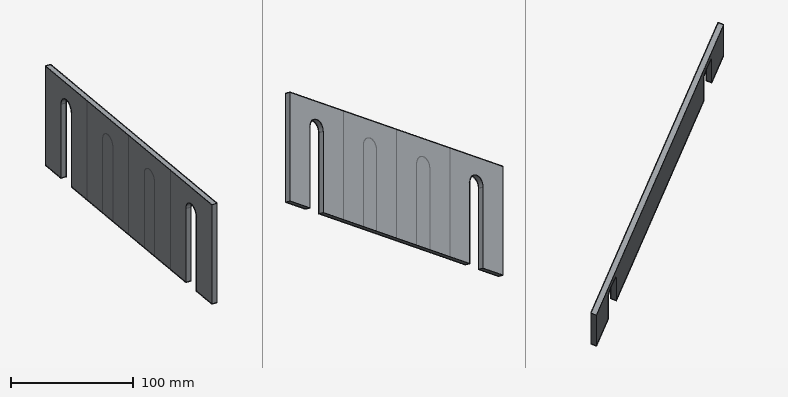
import cadquery as cq

length = 267.0
thickness = 5.0
height = 93.0

panel_count = 4
panel_width = length / panel_count
slot_width = 16.5
slot_top = 77.5
slot_radius = slot_width / 2
slot_spring = slot_top - slot_radius

inner_panels = range(1, panel_count - 1)
end_panels = (0, panel_count - 1)


def panel_center(index):
    """X position of a panel's centreline."""
    return (index + 0.5) * panel_width - length / 2


def slot_outline(index):
    """Round-topped outline on the front face, open at the bottom edge of the plate."""
    x_left = panel_center(index) - slot_radius
    x_right = panel_center(index) + slot_radius
    return (
        cq.Workplane("XZ")
        .moveTo(x_left, 0)
        .lineTo(x_left, slot_spring)
        .threePointArc((panel_center(index), slot_top), (x_right, slot_spring))
        .lineTo(x_right, 0)
        .close()
    )


def panel_outline(index):
    """Full-height rectangle of one panel on the front face."""
    return cq.Workplane("XZ").center(panel_center(index), height / 2).rect(panel_width, height)


def flat_face(outline):
    """Face of no thickness filling a closed outline."""
    return cq.Face.makeFromWires(outline.wires().val())


plate = cq.Workplane("XY").box(length, thickness, height, centered=(True, False, False))
for end_index in end_panels:
    plate = plate.cut(slot_outline(end_index).extrude(-thickness))

marks = []
for inner_index in inner_panels:
    marks.append(flat_face(panel_outline(inner_index)))
    marks.append(flat_face(slot_outline(inner_index)))

marked_plate = plate.val().split(*marks)
result = cq.Workplane("XY").newObject([marked_plate.Solids()[0]])